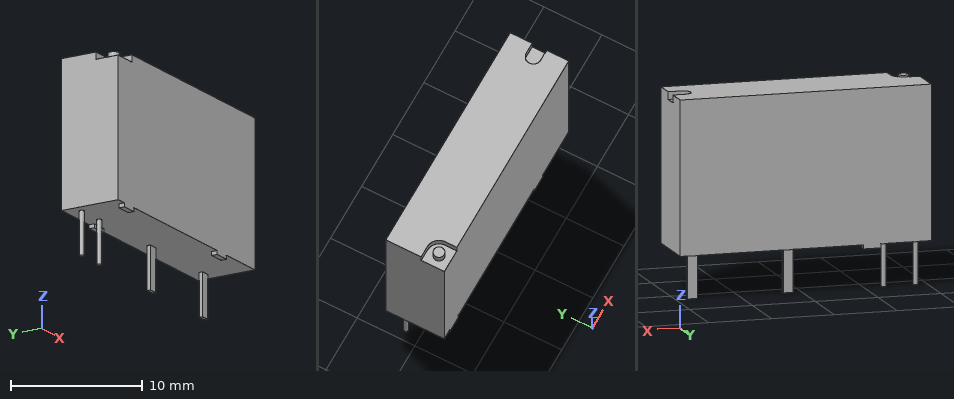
import cadquery as cq

LENGTH = 20.0
WIDTH = 5.08
BODY_HEIGHT = 12.2

RECESS_DEPTH = 0.6
CORNER_SIZE = 2.0
CORNER_RADIUS = CORNER_SIZE / 2
KNOB_DIAMETER = 0.9
SLOT_LENGTH = 1.6
SLOT_WIDTH = 1.25

FOOT_LENGTH = 1.38
FOOT_WIDTH = 0.48
FOOT_HEIGHT = 0.32
FRONT_FEET_X = (0.9, 14.45)
BACK_FOOT_X = 4.05

PITCH = 2.55
PIN_LENGTH = 3.6
PIN_ROW_Y = 3.8
FIRST_PIN_X = 0.9
ROUND_PIN_DIAMETER = 0.4
ROUND_PIN_STEPS = (0, 1)
FLAT_PIN_WIDTH = 0.8
FLAT_PIN_THICKNESS = 0.3
FLAT_PIN_STEPS = (4, 7)


def corner_block(length, width, height):
    """Box with its lowest corner at the origin."""
    return cq.Workplane("XY").box(length, width, height, centered=False)


def corner_recess():
    """Square corner recess with a rounded inner corner, leaving a round knob standing."""
    pocket = corner_block(CORNER_SIZE, CORNER_SIZE, RECESS_DEPTH)
    pocket = pocket.edges("|Z and >X and >Y").fillet(CORNER_RADIUS)
    middle = CORNER_SIZE / 2
    knob = cq.Workplane("XY").center(middle, middle).circle(KNOB_DIAMETER / 2).extrude(RECESS_DEPTH)
    return pocket.cut(knob).translate((0, 0, BODY_HEIGHT - RECESS_DEPTH))


def end_slot():
    """Round-ended slot, open at the right end of the body."""
    radius = SLOT_WIDTH / 2
    slot = (
        cq.Workplane("XY")
        .moveTo(SLOT_LENGTH, -radius)
        .lineTo(radius, -radius)
        .threePointArc((0, 0), (radius, radius))
        .lineTo(SLOT_LENGTH, radius)
        .close()
        .extrude(RECESS_DEPTH)
    )
    return slot.translate((LENGTH - SLOT_LENGTH, WIDTH / 2, BODY_HEIGHT - RECESS_DEPTH))


def foot(x, y):
    return corner_block(FOOT_LENGTH, FOOT_WIDTH, FOOT_HEIGHT).translate((x, y, -FOOT_HEIGHT))


def pin_base(step):
    """Workplane on the body underside, a number of pitches from the first pin."""
    return cq.Workplane("XY").center(FIRST_PIN_X + step * PITCH, PIN_ROW_Y)


result = corner_block(LENGTH, WIDTH, BODY_HEIGHT).cut(corner_recess()).cut(end_slot())

for foot_x in FRONT_FEET_X:
    result = result.union(foot(foot_x, 0))
result = result.union(foot(BACK_FOOT_X, WIDTH - FOOT_WIDTH))

for pin_step in ROUND_PIN_STEPS:
    result = result.union(pin_base(pin_step).circle(ROUND_PIN_DIAMETER / 2).extrude(-PIN_LENGTH))
for pin_step in FLAT_PIN_STEPS:
    flat_pin = pin_base(pin_step).rect(FLAT_PIN_WIDTH, FLAT_PIN_THICKNESS).extrude(-PIN_LENGTH)
    result = result.union(flat_pin)